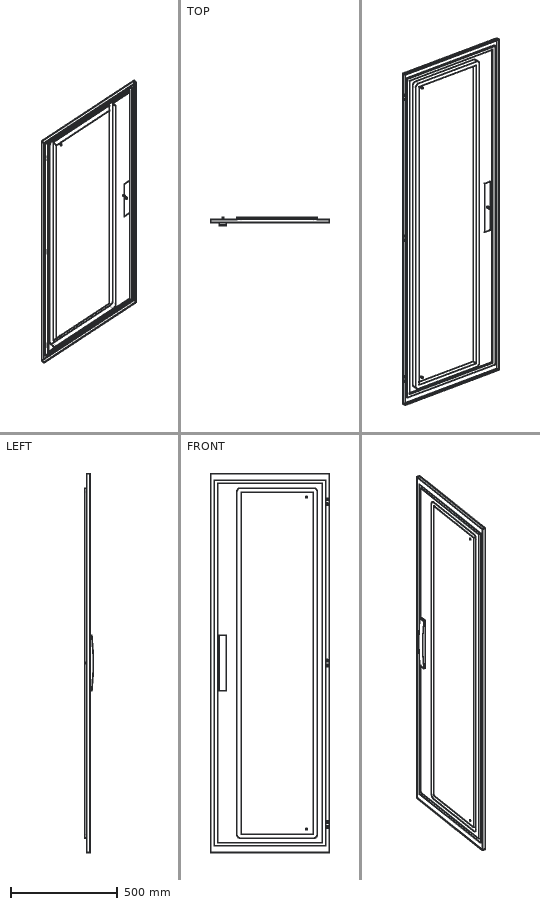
import cadquery as cq

DOOR_WIDTH = 558.0
DOOR_HEIGHT = 1784.0
TOTAL_DEPTH = 41.0
DOOR_DEPTH = 16.0
SHEET = 1.5
HANDLE_RISE = 16.0

FRONT = -TOTAL_DEPTH / 2 + HANDLE_RISE
SHEET_BACK = FRONT + SHEET
REAR = TOTAL_DEPTH / 2
LEFT = -DOOR_WIDTH / 2
RIGHT = DOOR_WIDTH / 2

SEAL_SIDE_INSET = 18.0
SEAL_END_INSET = 32.0
SEAL_WIDTH = 15.0
SEAL_HEIGHT = 9.0

STIFFENER_LEFT_INSET = 123.0
STIFFENER_RIGHT_INSET = 57.0
STIFFENER_END_INSET = 68.0
STIFFENER_BAR = 20.0
STIFFENER_CORNER_RADIUS = 18.0

STUD_DIAMETER = 7.0
STUD_LENGTH = 10.0
STUD_X = RIGHT - 107.0
STUD_END_INSET = 110.0

HINGE_HOLE_DIAMETER = 9.0
HINGE_HOLE_X = RIGHT - 9.0
HINGE_HOLE_SPACING = 23.0
HINGE_END_INSET = 132.0

HANDLE_WIDTH = 34.0
HANDLE_LENGTH = 262.0
HANDLE_END_RISE = 9.0
HANDLE_X = LEFT + 57.0
SPINDLE_DIAMETER = 7.0


def plate(left, right, height, y_front, thickness):
    """Upright slab from left to right, centred on Z = 0, whose front is at y_front."""
    return cq.Workplane("XY").box(right - left, thickness, height).translate(
        ((left + right) / 2, y_front + thickness / 2, 0)
    )


def rod(x, z, diameter, y_start, y_end):
    """Cylinder along Y."""
    return (
        cq.Workplane("XZ", origin=(x, y_start, z))
        .circle(diameter / 2)
        .extrude(y_start - y_end)
    )


def make_pan():
    """Front sheet with its four edges folded back."""
    outer = plate(LEFT, RIGHT, DOOR_HEIGHT, FRONT, DOOR_DEPTH)
    inside = plate(LEFT + SHEET, RIGHT - SHEET, DOOR_HEIGHT - 2 * SHEET, SHEET_BACK, DOOR_DEPTH)
    return outer.cut(inside)


def make_seal_rib():
    left = LEFT + SEAL_SIDE_INSET
    right = RIGHT - SEAL_SIDE_INSET
    height = DOOR_HEIGHT - 2 * SEAL_END_INSET
    outer = plate(left, right, height, SHEET_BACK, SEAL_HEIGHT)
    opening = plate(
        left + SEAL_WIDTH, right - SEAL_WIDTH, height - 2 * SEAL_WIDTH, SHEET_BACK, SEAL_HEIGHT
    )
    return outer.cut(opening)


def make_stiffener():
    left = LEFT + STIFFENER_LEFT_INSET
    right = RIGHT - STIFFENER_RIGHT_INSET
    height = DOOR_HEIGHT - 2 * STIFFENER_END_INSET
    depth = REAR - SHEET_BACK
    outer = plate(left, right, height, SHEET_BACK, depth).edges("|Y").fillet(STIFFENER_CORNER_RADIUS)
    opening = plate(
        left + STIFFENER_BAR, right - STIFFENER_BAR, height - 2 * STIFFENER_BAR, SHEET_BACK, depth
    )
    return outer.cut(opening)


def make_door():
    door = make_pan().union(make_seal_rib()).union(make_stiffener())

    stud_z = DOOR_HEIGHT / 2 - STUD_END_INSET
    for z in (-stud_z, stud_z):
        door = door.union(rod(STUD_X, z, STUD_DIAMETER, SHEET_BACK, SHEET_BACK + STUD_LENGTH))

    hinge_z = DOOR_HEIGHT / 2 - HINGE_END_INSET
    for middle in (-hinge_z, 0, hinge_z):
        for z in (middle - HINGE_HOLE_SPACING / 2, middle + HINGE_HOLE_SPACING / 2):
            door = door.cut(rod(HINGE_HOLE_X, z, HINGE_HOLE_DIAMETER, FRONT, SHEET_BACK))

    return door.cut(rod(HANDLE_X, 0, SPINDLE_DIAMETER, FRONT, SHEET_BACK))


def make_handle():
    half_length = HANDLE_LENGTH / 2
    grip = (
        cq.Workplane("YZ", origin=(HANDLE_X - HANDLE_WIDTH / 2, 0, 0))
        .moveTo(FRONT, -half_length)
        .lineTo(FRONT - HANDLE_END_RISE, -half_length)
        .threePointArc((FRONT - HANDLE_RISE, 0), (FRONT - HANDLE_END_RISE, half_length))
        .lineTo(FRONT, half_length)
        .close()
        .extrude(HANDLE_WIDTH)
    )
    return grip.union(rod(HANDLE_X, 0, SPINDLE_DIAMETER, FRONT, REAR))


door = make_door()
handle = make_handle()

result = cq.Compound.makeCompound([door.val(), handle.val()])